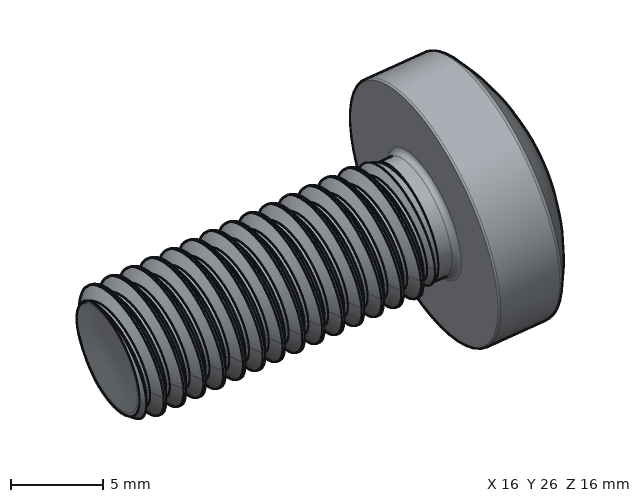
import cadquery as cq
import math

total_length = 26.0
head_diameter = 16.0
head_height = 6.0
crown_diameter = 8.48
dome_radius = 13.0
dome_edge_fillet = 0.25
bearing_edge_fillet = 0.1

neck_diameter = 7.18
neck_length = 1.22
neck_fillet = 0.36

thread_diameter = 8.0
root_diameter = 6.53
pitch = 1.25
crest_width = pitch / 8
groove_overrun = 0.08
flank_angle = 30.0
first_crest_depth = 3.12
runout_length = 1.1

tip_diameter = 6.92
tip_chamfer_length = 0.68
dish_diameter = 6.5
dish_depth = 0.18

head_radius = head_diameter / 2
crown_radius = crown_diameter / 2
neck_radius = neck_diameter / 2
crest_radius = thread_diameter / 2
root_radius = root_diameter / 2
tip_radius = tip_diameter / 2
dish_radius = dish_diameter / 2
shank_length = total_length - head_height


def dome_height(radius):
    """Height of the dome above the bearing face; its centre lies on the axis."""
    centre_height = head_height - math.sqrt(dome_radius**2 - crown_radius**2)
    return centre_height + math.sqrt(dome_radius**2 - radius**2)


def make_head():
    """Round head with a domed outer face that ends in a flat crown."""
    middle_radius = (crown_radius + head_radius) / 2
    head = (
        cq.Workplane("XZ")
        .lineTo(head_radius, 0)
        .lineTo(head_radius, dome_height(head_radius))
        .threePointArc((middle_radius, dome_height(middle_radius)), (crown_radius, head_height))
        .lineTo(0, head_height)
        .close()
        .revolve(360, (0, 0), (0, 1))
    )
    head = head.faces("%CYLINDER").edges("<Z").fillet(bearing_edge_fillet)
    return head.faces("%CYLINDER").edges(">Z").fillet(dome_edge_fillet)


def make_neck():
    """Plain neck that flares into the bearing face with a concave fillet."""
    flare_offset = neck_fillet * (1 - math.sqrt(0.5))
    return (
        cq.Workplane("XZ")
        .lineTo(neck_radius + neck_fillet, 0)
        .threePointArc((neck_radius + flare_offset, -flare_offset), (neck_radius, -neck_fillet))
        .lineTo(neck_radius, -neck_length)
        .lineTo(0, -neck_length)
        .close()
        .revolve(360, (0, 0), (0, 1))
    )


def make_groove_turn():
    """One turn of the thread groove, starting on the +X side at Z = 0."""
    flank_slope = math.tan(math.radians(flank_angle))
    outer_radius = crest_radius + groove_overrun
    outer_half = (pitch - crest_width) / 2 + groove_overrun * flank_slope
    root_half = outer_half - (outer_radius - root_radius) * flank_slope
    path = cq.Wire.makeHelix(pitch, pitch, root_radius)
    return (
        cq.Workplane("XZ")
        .moveTo(root_radius, -root_half)
        .lineTo(outer_radius, -outer_half)
        .lineTo(outer_radius, outer_half)
        .lineTo(root_radius, root_half)
        .close()
        .sweep(cq.Workplane(path), isFrenet=True)
    )


def make_thread():
    """Threaded length with a run-out cone at the neck and a chamfered tip."""
    thread = (
        cq.Workplane("XZ")
        .moveTo(0, -neck_length)
        .lineTo(neck_radius, -neck_length)
        .lineTo(crest_radius, -neck_length - runout_length)
        .lineTo(crest_radius, tip_chamfer_length - shank_length)
        .lineTo(tip_radius, -shank_length)
        .lineTo(dish_radius, -shank_length)
        .lineTo(0, dish_depth - shank_length)
        .close()
        .revolve(360, (0, 0), (0, 1))
    )
    groove_turn = make_groove_turn()
    highest_start = pitch - first_crest_depth
    for turn in range(math.ceil(shank_length / pitch)):
        thread = thread.cut(groove_turn.translate((0, 0, highest_start - turn * pitch)))
    return thread


screw = make_head().union(make_neck()).union(make_thread())

result = screw.rotate((0, 0, 0), (1, 0, 0), -90)